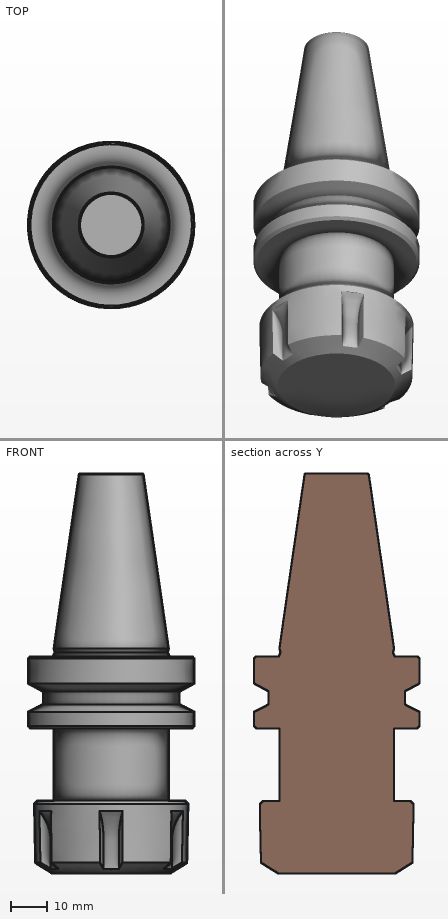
import cadquery as cq
import math

total_height = 110.4
gauge_height = 62.0
gauge_radius = 15.9
shank_tip_radius = 8.6
tip_chamfer = 0.3
undercut_radius = 15.6
undercut_height = 61.0
undercut_base_radius = 16.1

flange_radius = 23.0
flange_bottom = 40.0
flange_top = 60.0
flange_top_chamfer = 0.7
flange_bottom_chamfer = 0.8
groove_radius = 37.8 / 2
groove_bottom_outer = 44.6
groove_bottom_inner = 46.7
groove_top_inner = 50.2
groove_top_outer = 52.4

body_radius = 15.9
nut_height = 20.1
nut_top_radius = 21.3
nut_lower_radius = 21.0
nut_face_radius = 16.2
nut_face_chamfer_height = 3.0
nut_top_chamfer = 0.9

slot_count = 6
slot_floor_radius = 18.1
slot_floor_half_width = 2.1
slot_mouth_half_width = 3.2
slot_mouth_radius = math.sqrt(nut_top_radius**2 - slot_mouth_half_width**2)
slot_straight_height = 9.3
slot_top = 17.2
cutter_radius = 24.3


def make_turned_body():
    """Revolve the half section of shank, flange, body and nut about Z."""
    half_section = [
        (0, 0),
        (nut_face_radius, 0),
        (nut_lower_radius, nut_face_chamfer_height),
        (nut_top_radius, nut_height - nut_top_chamfer),
        (nut_top_radius - nut_top_chamfer, nut_height),
        (body_radius, nut_height),
        (body_radius, flange_bottom),
        (flange_radius - flange_bottom_chamfer, flange_bottom),
        (flange_radius, flange_bottom + flange_bottom_chamfer),
        (flange_radius, groove_bottom_outer),
        (groove_radius, groove_bottom_inner),
        (groove_radius, groove_top_inner),
        (flange_radius, groove_top_outer),
        (flange_radius, flange_top - flange_top_chamfer),
        (flange_radius - flange_top_chamfer, flange_top),
        (undercut_base_radius, flange_top),
        (undercut_radius, undercut_height),
        (gauge_radius, gauge_height),
        (shank_tip_radius + tip_chamfer, total_height - tip_chamfer),
        (shank_tip_radius, total_height),
        (0, total_height),
    ]
    return cq.Workplane("XZ").polyline(half_section).close().revolve(360, (0, 0), (0, 1))


def make_slot_cutter():
    """Cutter for the -Y slot: flaring walls, and a floor that sweeps outward near the top."""
    flare = (slot_mouth_half_width - slot_floor_half_width) / (slot_mouth_radius - slot_floor_radius)
    outer_half_width = slot_floor_half_width + flare * (cutter_radius - slot_floor_radius)
    flared_prism = (
        cq.Workplane("XY")
        .polyline([
            (-slot_floor_half_width, -slot_floor_radius),
            (slot_floor_half_width, -slot_floor_radius),
            (outer_half_width, -cutter_radius),
            (-outer_half_width, -cutter_radius),
        ])
        .close()
        .extrude(slot_top)
    )
    side_profile = (
        cq.Workplane("YZ")
        .moveTo(-cutter_radius, 0)
        .lineTo(-slot_floor_radius, 0)
        .lineTo(-slot_floor_radius, slot_straight_height)
        .tangentArcPoint((-slot_mouth_radius, slot_top), relative=False)
        .lineTo(-cutter_radius, slot_top)
        .close()
        .extrude(outer_half_width, both=True)
    )
    return flared_prism.intersect(side_profile)


result = make_turned_body()
slot_cutter = make_slot_cutter()
for slot_index in range(slot_count):
    slot_angle = slot_index * 360 / slot_count
    result = result.cut(slot_cutter.rotate((0, 0, 0), (0, 0, 1), slot_angle))